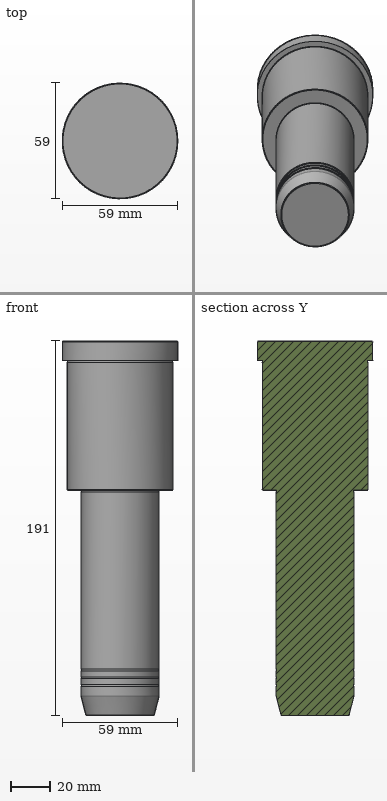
import cadquery as cq

total_length = 191.0
head_height = 10.0
sleeve_end_depth = 76.0
tip_height = 10.0

head_radius = 59.0 / 2
sleeve_radius = 54.0 / 2
pin_radius = 40.0 / 2
tip_radius = 17.4

head_chamfer = 0.4
sleeve_chamfer = 0.4
tip_chamfer = 0.4

groove_width = 1.0
groove_depth = 0.2
oil_groove_count = 3
oil_groove_pitch = 4.0
lowest_groove_bottom = 14.9

head_bottom = total_length - head_height
sleeve_bottom = total_length - sleeve_end_depth


def cylinder(radius, bottom, top):
    return cq.Workplane("XY").workplane(offset=bottom).circle(radius).extrude(top - bottom)


def ring_groove(surface_radius, bottom):
    """Ring-shaped cutter for a shallow groove in a cylindrical surface."""
    outer = cylinder(surface_radius + groove_depth, bottom, bottom + groove_width)
    core = cylinder(surface_radius - groove_depth, bottom, bottom + groove_width)
    return outer.cut(core)


head = cylinder(head_radius, head_bottom, total_length).faces(">Z").chamfer(head_chamfer)
sleeve = cylinder(sleeve_radius, sleeve_bottom, head_bottom).faces("<Z").chamfer(sleeve_chamfer)
pin = cylinder(pin_radius, tip_height, sleeve_bottom)

tip = (
    cq.Workplane("XY")
    .circle(tip_radius)
    .workplane(offset=tip_height)
    .circle(pin_radius)
    .loft(ruled=True)
    .faces("<Z")
    .chamfer(tip_chamfer)
)

result = head.union(sleeve).union(pin).union(tip)

result = result.cut(ring_groove(sleeve_radius, head_bottom - groove_width))
result = result.cut(ring_groove(pin_radius, sleeve_bottom - groove_width))

for index in range(oil_groove_count):
    result = result.cut(ring_groove(pin_radius, lowest_groove_bottom + index * oil_groove_pitch))